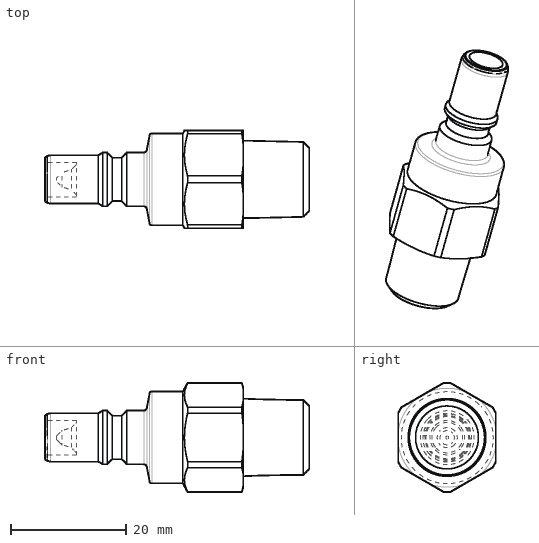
import cadquery as cq
import math

length = 46.0

nose_radius = 8.45 / 2
nose_face_radius = 3.7
nose_rim_radius = 3.85
nose_rim_x = 0.1
nose_shoulder_radius = 4.1
nose_shoulder_x = 0.45
nose_lead_in = 1.0

collar_radius = 9.4 / 2
groove_radius = 7.6 / 2
collar_start = 9.35
collar_top_start = 10.1
collar_top_end = 10.85
groove_start = collar_top_end + (collar_radius - groove_radius)
groove_end = 13.4
neck_start = groove_end + (collar_radius - groove_radius)
neck_end = 17.2

body_radius = 16.0 / 2
neck_blend_x = 17.75
neck_blend_radius = 5.25
blend_mid_x = 17.6
blend_mid_radius = 4.88
body_face_x = 18.2
body_face_radius = 7.7
body_round_end = 18.6

across_flats = 17.0
corner_radius = 19.0 / 2
hex_start = 24.0
front_chamfer_end = 24.85
hex_end = 34.55
rear_chamfer_length = 0.28
rear_face_radius = 8.6

tail_radius = 6.75
tail_end_radius = 6.55
tail_chamfer = 1.05

bore_radius = 6.0 / 2
pin_seat_radius = 5.3 / 2
pin_shoulder_radius = 1.75
pin_nose_radius = 2.5 / 2
pin_tip_radius = 0.255
pin_tip_x = 2.0
pin_nose_x = pin_tip_x + (pin_nose_radius - pin_tip_radius)
pin_shoulder_x = 4.6
pin_seat_x = pin_shoulder_x + (pin_seat_radius - pin_shoulder_radius)


def revolve_about_x(outline):
    return outline.close().revolve(360, (0, 0, 0), (1, 0, 0))


def make_turned_body():
    """Nose, collar, groove, neck, round body and tapered tail."""
    outline = (
        cq.Workplane("XY")
        .moveTo(0, 0)
        .lineTo(0, nose_face_radius)
        .lineTo(nose_rim_x, nose_rim_radius)
        .lineTo(nose_shoulder_x, nose_shoulder_radius)
        .lineTo(nose_lead_in, nose_radius)
        .lineTo(collar_start, nose_radius)
        .lineTo(collar_top_start, collar_radius)
        .lineTo(collar_top_end, collar_radius)
        .lineTo(groove_start, groove_radius)
        .lineTo(groove_end, groove_radius)
        .lineTo(neck_start, collar_radius)
        .lineTo(neck_end, collar_radius)
        .threePointArc((blend_mid_x, blend_mid_radius), (neck_blend_x, neck_blend_radius))
        .lineTo(body_face_x, body_face_radius)
        .tangentArcPoint((body_round_end, body_radius), relative=False)
        .lineTo(hex_start, body_radius)
        .lineTo(hex_end, tail_radius)
        .lineTo(length - tail_chamfer, tail_end_radius)
        .lineTo(length, tail_end_radius - tail_chamfer)
        .lineTo(length, 0)
    )
    return revolve_about_x(outline)


def make_hexagon():
    """Hexagonal prism with turned corners and conical chamfers at both ends."""
    across_corners = across_flats / math.cos(math.radians(30))
    prism = (
        cq.Workplane("YZ", origin=(hex_start, 0, 0))
        .polygon(6, across_corners)
        .extrude(hex_end - hex_start)
        .rotate((0, 0, 0), (1, 0, 0), 90)
    )
    envelope = revolve_about_x(
        cq.Workplane("XY")
        .moveTo(hex_start, 0)
        .lineTo(hex_start, body_radius)
        .lineTo(front_chamfer_end, corner_radius)
        .lineTo(hex_end - rear_chamfer_length, corner_radius)
        .lineTo(hex_end, rear_face_radius)
        .lineTo(hex_end, 0)
    )
    return prism.intersect(envelope)


def make_bore():
    """Blind bore that leaves the pointed valve pin standing on its floor."""
    outline = (
        cq.Workplane("XY")
        .moveTo(0, 0)
        .lineTo(0, bore_radius)
        .lineTo(pin_seat_x, bore_radius)
        .lineTo(pin_seat_x, pin_seat_radius)
        .lineTo(pin_shoulder_x, pin_shoulder_radius)
        .lineTo(pin_nose_x, pin_nose_radius)
        .lineTo(pin_tip_x, pin_tip_radius)
        .lineTo(pin_tip_x, 0)
    )
    return revolve_about_x(outline)


result = make_turned_body().union(make_hexagon()).cut(make_bore())